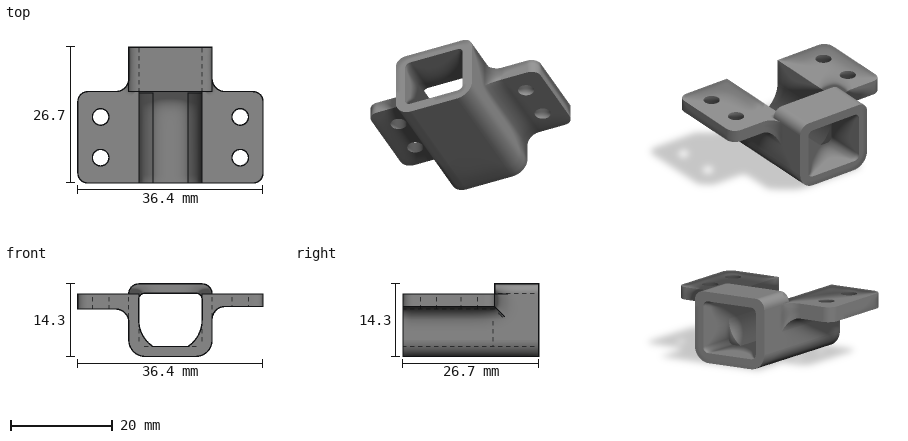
import cadquery as cq
import math

mid_arc_inset = 1 - math.sqrt(0.5)

total_width = 36.4
total_depth = 26.7
total_height = 14.3

inner_width = 12.4
wall = 2.0
outer_width = inner_width + 2 * wall
floor_z = wall
outer_bottom_radius = 3.25
cradle_radius = inner_width / 2
cradle_axis_z = total_height / 2

lid_thickness = 1.9
lid_edge_radius = 2.0
lid_bottom_z = total_height - lid_thickness

tunnel_depth = 9.0
tunnel_corner_radius = 1.1
tunnel_front_y = total_depth - tunnel_depth

wing_depth = 18.0
wing_top_z = total_height - lid_edge_radius
left_wing_thickness = 3.0
right_wing_thickness = 2.5
wing_corner_radius = 2.0
blend_radius = 2.5

hole_diameter = 3.2
hole_edge_x = 4.5
hole_spacing_y = 8.0
hole_x = total_width / 2 - hole_edge_x


def block(width, y_start, y_end, z_start, z_end):
    """Box centred on X between the given Y and Z limits."""
    depth = y_end - y_start
    height = z_end - z_start
    solid = cq.Workplane("XY").box(width, depth, height, centered=(True, False, False))
    return solid.translate((0, y_start, z_start))


def make_body():
    """Outer channel block, lowered to the wing top in front of the lid."""
    body = block(outer_width, 0, total_depth, 0, total_height)
    body = body.edges("|Y and <Z").fillet(outer_bottom_radius)
    body = body.edges("|Y and >Z").fillet(lid_edge_radius)
    return body.cut(block(outer_width, 0, wing_depth, wing_top_z, total_height))


def make_wing(side, thickness):
    """One wing, side = -1 for left and +1 for right, blended into the channel wall."""
    root_x = side * outer_width / 2
    buried_x = side * (outer_width / 2 - wall / 2)
    tip_x = side * total_width / 2
    blend_x = root_x + side * blend_radius
    corner_x = tip_x - side * wing_corner_radius
    under_z = wing_top_z - thickness
    blend_start = blend_radius * mid_arc_inset
    blend_mid_x = root_x + side * blend_start
    corner_inset = wing_corner_radius * mid_arc_inset
    corner_mid_x = tip_x - side * corner_inset

    plan = (
        cq.Workplane("XY")
        .moveTo(buried_x, 0)
        .lineTo(corner_x, 0)
        .threePointArc((corner_mid_x, corner_inset), (tip_x, wing_corner_radius))
        .lineTo(tip_x, wing_depth - wing_corner_radius)
        .threePointArc((corner_mid_x, wing_depth - corner_inset), (corner_x, wing_depth))
        .lineTo(blend_x, wing_depth)
        .threePointArc((blend_mid_x, wing_depth + blend_start), (root_x, wing_depth + blend_radius))
        .lineTo(buried_x, wing_depth + blend_radius)
        .close()
        .extrude(wing_top_z)
    )
    section = (
        cq.Workplane("XZ")
        .moveTo(buried_x, wing_top_z)
        .lineTo(tip_x, wing_top_z)
        .lineTo(tip_x, under_z)
        .lineTo(blend_x, under_z)
        .threePointArc((blend_mid_x, under_z - blend_start), (root_x, under_z - blend_radius))
        .lineTo(buried_x, under_z - blend_radius)
        .close()
        .extrude(-total_depth)
    )
    return plan.intersect(section)


def make_cradle():
    """Open-topped front channel: straight walls running into a round bottom with a flat floor."""
    half_floor = math.sqrt(cradle_radius**2 - (cradle_axis_z - floor_z) ** 2)
    arc_mid_angle = math.asin((cradle_axis_z - floor_z) / cradle_radius) / 2
    mid_x = cradle_radius * math.cos(arc_mid_angle)
    mid_z = cradle_axis_z - cradle_radius * math.sin(arc_mid_angle)
    return (
        cq.Workplane("XZ")
        .moveTo(-cradle_radius, wing_top_z)
        .lineTo(-cradle_radius, cradle_axis_z)
        .threePointArc((-mid_x, mid_z), (-half_floor, floor_z))
        .lineTo(half_floor, floor_z)
        .threePointArc((mid_x, mid_z), (cradle_radius, cradle_axis_z))
        .lineTo(cradle_radius, wing_top_z)
        .close()
        .extrude(-wing_depth)
    )


def make_tunnel():
    """Rounded rectangular passage through the rear of the channel."""
    tunnel = block(inner_width, tunnel_front_y, total_depth, floor_z, lid_bottom_z)
    return tunnel.edges("|Y").fillet(tunnel_corner_radius)


def make_screw_holes():
    """Two vertical holes through each wing, centred along the wing depth."""
    return (
        cq.Workplane("XY")
        .center(0, wing_depth / 2)
        .rect(2 * hole_x, hole_spacing_y, forConstruction=True)
        .vertices()
        .circle(hole_diameter / 2)
        .extrude(total_height)
    )


left_wing = make_wing(-1, left_wing_thickness)
right_wing = make_wing(1, right_wing_thickness)
result = make_body().union(left_wing).union(right_wing)
result = result.cut(make_cradle()).cut(make_tunnel()).cut(make_screw_holes())